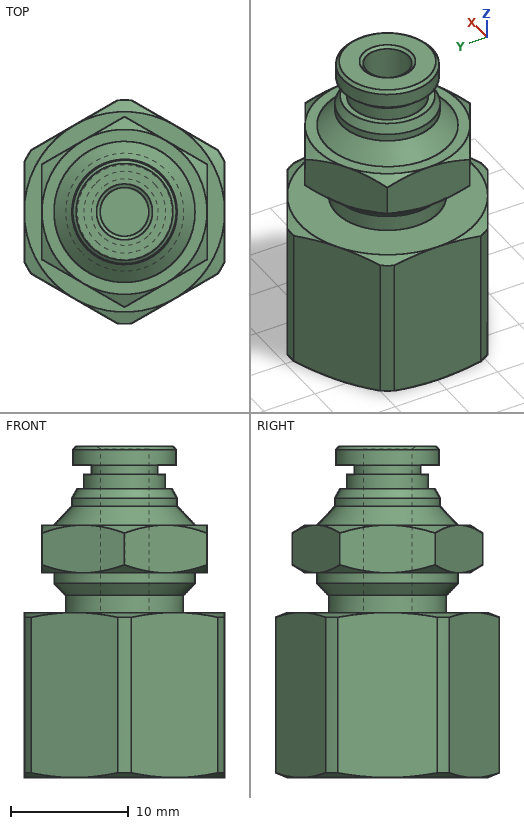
import cadquery as cq
import math

HEX_SIDES = 6
HEX_HALF_ANGLE = 180 / HEX_SIDES

body_flats = 17.0
body_corner_dia = 19.0
body_height = 14.0
body_chamfer_angle = 22.0

nut_flats = 14.0
nut_bottom = 17.37
nut_top = 21.4
nut_chamfer_angle = 32.0

stem_dia = 10.0
flange_dia = 11.97
shoulder_dia = 8.94
shoulder_top_dia = 8.05
sleeve_dia = 6.95
neck_dia = 5.65
collar_dia = 8.77

stem_top = 15.45
flange_cone_top = 16.47
shoulder_bottom = 23.0
shoulder_chamfer_start = 23.7
shoulder_top = 24.5
sleeve_top = 25.7
collar_bottom = 26.5
total_height = 28.1
collar_chamfer = 0.28

bore_dia = 4.13
bore_mouth_dia = 4.75
bore_lead_in_depth = 0.2
bore_depth = total_height - body_height


def revolve_about_z(points):
    """Turn a closed (radius, height) outline about Z."""
    outline = cq.Workplane("XZ").polyline(points).close()
    return outline.revolve(360, (0, 0), (0, 1))


def across_corners(flats):
    """Diameter across the sharp corners of a hexagon with the given size across flats."""
    return flats / math.cos(math.radians(HEX_HALF_ANGLE))


def chamfered_hexagon(flats, outer_dia, bottom, top, chamfer_angle):
    """Hexagonal prism with corners on the Y axis, turned to outer_dia and coned at both ends."""
    base = cq.Workplane("XY").workplane(offset=bottom)
    prism = base.polygon(HEX_SIDES, across_corners(flats)).extrude(top - bottom)
    prism = prism.rotate((0, 0, 0), (0, 0, 1), HEX_HALF_ANGLE)
    face_radius = flats / 2
    outer_radius = outer_dia / 2
    drop = (outer_radius - face_radius) * math.tan(math.radians(chamfer_angle))
    envelope = revolve_about_z([
        (0, bottom),
        (face_radius, bottom),
        (outer_radius, bottom + drop),
        (outer_radius, top - drop),
        (face_radius, top),
        (0, top),
    ])
    return prism.intersect(envelope)


def turned_core():
    """Stem, flange, shoulder, sleeve, neck and release collar as one turned piece."""
    return revolve_about_z([
        (0, body_height),
        (stem_dia / 2, body_height),
        (stem_dia / 2, stem_top),
        (flange_dia / 2, flange_cone_top),
        (flange_dia / 2, nut_top),
        (shoulder_dia / 2, shoulder_bottom),
        (shoulder_dia / 2, shoulder_chamfer_start),
        (shoulder_top_dia / 2, shoulder_top),
        (sleeve_dia / 2, shoulder_top),
        (sleeve_dia / 2, sleeve_top),
        (neck_dia / 2, sleeve_top),
        (neck_dia / 2, collar_bottom),
        (collar_dia / 2, collar_bottom),
        (collar_dia / 2, total_height - collar_chamfer),
        (collar_dia / 2 - collar_chamfer, total_height),
        (0, total_height),
    ])


def tube_socket():
    """Blind bore with a conical lead-in at the mouth."""
    return revolve_about_z([
        (0, total_height - bore_depth),
        (bore_dia / 2, total_height - bore_depth),
        (bore_dia / 2, total_height - bore_lead_in_depth),
        (bore_mouth_dia / 2, total_height),
        (0, total_height),
    ])


body = chamfered_hexagon(body_flats, body_corner_dia, 0, body_height, body_chamfer_angle)
nut = chamfered_hexagon(nut_flats, across_corners(nut_flats), nut_bottom, nut_top, nut_chamfer_angle)

result = body.union(turned_core()).union(nut).cut(tube_socket())